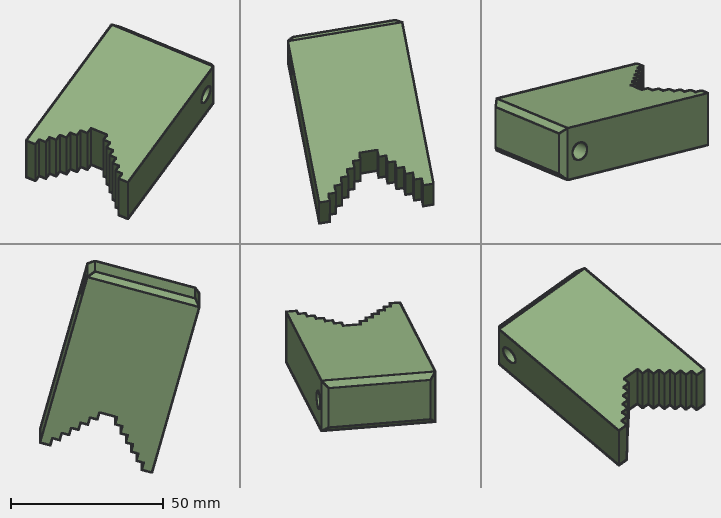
import cadquery as cq

WIDTH = 38.0
LENGTH = 60.0
HEIGHT = 18.0
BACK_CHAMFER = 2.0

STEP_COUNT = 6
STEP_SIZE = 2.5
NOTCH_INNER_WIDTH = 6.0

HOLE_DIAMETER = 6.0
HOLE_FROM_BACK = 7.0


def make_block():
    """Block centred on the origin with all four back edges chamfered."""
    block = cq.Workplane("XY").box(WIDTH, LENGTH, HEIGHT)
    return block.faces(">Y").edges().chamfer(BACK_CHAMFER)


def make_stepped_notch():
    """Union of full-height slots, each one step shallower and wider than the last."""
    notch = cq.Workplane("XY")
    for step in range(STEP_COUNT):
        slot_width = NOTCH_INNER_WIDTH + 2 * step * STEP_SIZE
        slot_depth = (STEP_COUNT - step) * STEP_SIZE
        slot_center_y = (slot_depth - LENGTH) / 2
        slot = cq.Workplane("XY").box(slot_width, slot_depth, HEIGHT)
        notch = notch.union(slot.translate((0, slot_center_y, 0)))
    return notch


def make_cross_hole():
    """Cylinder running through the full width at mid height."""
    hole_y = LENGTH / 2 - HOLE_FROM_BACK
    cylinder = cq.Workplane("YZ").center(hole_y, 0).circle(HOLE_DIAMETER / 2)
    return cylinder.extrude(WIDTH / 2, both=True)


result = make_block().cut(make_stepped_notch()).cut(make_cross_hole())